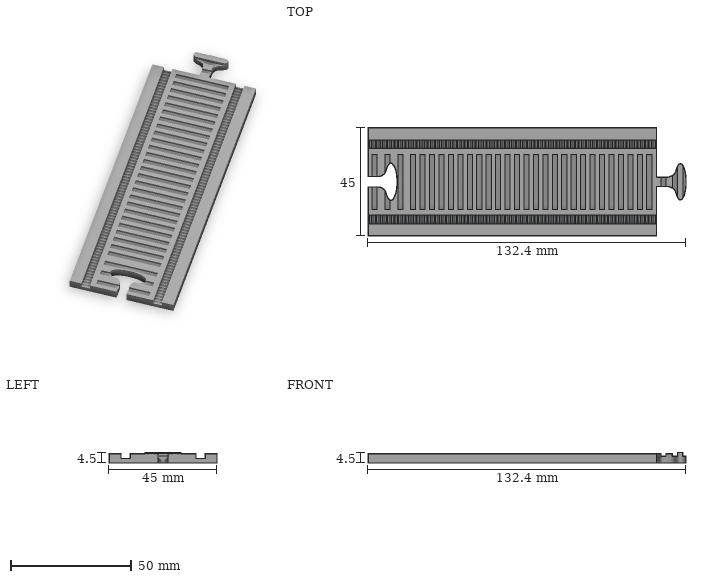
import cadquery as cq

plate_length = 120.0
plate_width = 45.0
plate_height = 4.0

channel_inner_y = 13.8
channel_width = 3.7
channel_floor_z = 2.0
flute_count = 78
flute_margin = 1.02
flute_radius = 0.5

slot_width = 2.1
slot_length = 22.9
slot_depth = 0.99
end_slot_count = 3
main_slot_count = 26
first_end_slot_x = 1.7
first_main_slot_x = 17.7
last_main_slot_x = 116.0

flare_radius = 3.6
socket_clearance = 0.1
hook_tip_x = 132.4
hook_height = 2.9
hook_neck_half_width = 2.0
hook_head_half_length = 2.4
hook_head_half_width = 7.5
socket_neck_half_width = hook_neck_half_width + socket_clearance
socket_head_half_length = hook_head_half_length + socket_clearance
socket_head_half_width = hook_head_half_width + socket_clearance
socket_head_x = 9.5
hook_head_x = hook_tip_x - hook_head_half_length

root_pad_end = 121.9
neck_pad_start = 123.9
neck_pad_end = 126.7
head_rib_start = 128.6
head_rib_end = 131.0
head_rib_height = 4.5


def block(x_start, x_end, y_start, y_end, z_start, z_end):
    """Axis-aligned block between two opposite corners."""
    size = (x_end - x_start, y_end - y_start, z_end - z_start)
    return cq.Workplane("XY").box(*size, centered=False).translate((x_start, y_start, z_start))


def crosswise_block(x_start, x_end, z_end):
    """Block standing on the base plane across the full plate width."""
    return block(x_start, x_end, -plate_width / 2, plate_width / 2, 0, z_end)


def coupling(neck_start, neck_half_width, head_x, head_half_length, head_half_width, height):
    """Neck along +X ending in an elliptical head, with rounded inside corners between them."""
    head = cq.Workplane("XY").center(head_x, 0).ellipse(head_half_length, head_half_width).extrude(height)
    neck = block(neck_start, head_x, -neck_half_width, neck_half_width, 0, height)
    inside_corners = cq.selectors.BoxSelector(
        (head_x - head_half_length, -head_half_width, height / 3),
        (head_x - head_half_length / 2, head_half_width, height * 2 / 3),
    )
    return neck.union(head).edges(inside_corners).fillet(flare_radius)


def spaced(first, last, count):
    """Evenly spaced positions from first to last."""
    step = (last - first) / (count - 1)
    return [first + i * step for i in range(count)]


def channels():
    """Cutter for both channels with the flutes across their floors."""
    channel_outer_y = channel_inner_y + channel_width
    groove = block(0, plate_length, channel_inner_y, channel_outer_y, channel_floor_z, plate_height)
    flute_centres = spaced(flute_margin, plate_length - flute_margin, flute_count)
    flutes = (
        cq.Workplane("XZ", origin=(0, channel_outer_y, channel_floor_z))
        .pushPoints([(x, 0) for x in flute_centres])
        .circle(flute_radius)
        .extrude(channel_width)
    )
    channel = groove.union(flutes)
    return channel.union(channel.mirror("XZ"))


def cross_slots():
    """Cutter for the row of shallow slots."""
    starts = spaced(first_end_slot_x, first_main_slot_x, end_slot_count + 1)[:end_slot_count]
    starts += spaced(first_main_slot_x, last_main_slot_x, main_slot_count)
    return (
        cq.Workplane("XY", origin=(slot_width / 2, 0, plate_height - slot_depth))
        .pushPoints([(x, 0) for x in starts])
        .rect(slot_width, slot_length)
        .extrude(slot_depth)
    )


def socket():
    """Cutter for the through socket that receives the hook of the next plate."""
    return coupling(
        0,
        socket_neck_half_width,
        socket_head_x,
        socket_head_half_length,
        socket_head_half_width,
        plate_height,
    )


def hook():
    """Low coupling hook carrying the two neck pads and the head rib."""
    full_height_hook = coupling(
        plate_length,
        hook_neck_half_width,
        hook_head_x,
        hook_head_half_length,
        hook_head_half_width,
        head_rib_height,
    )
    height_steps = (
        crosswise_block(plate_length, hook_tip_x, hook_height)
        .union(crosswise_block(plate_length, root_pad_end, plate_height))
        .union(crosswise_block(neck_pad_start, neck_pad_end, plate_height))
        .union(crosswise_block(head_rib_start, head_rib_end, head_rib_height))
    )
    return full_height_hook.intersect(height_steps)


plate = crosswise_block(0, plate_length, plate_height)
plate = plate.cut(channels()).cut(cross_slots()).cut(socket())
result = plate.union(hook())